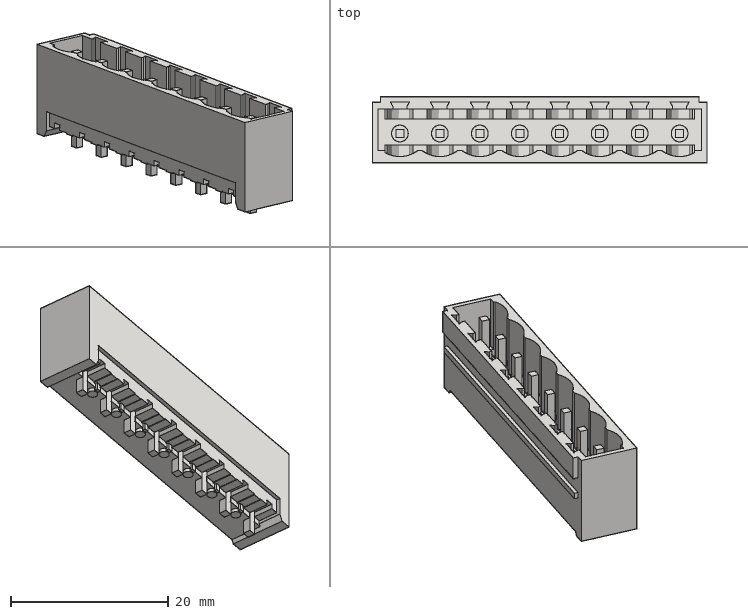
import cadquery as cq
import math


length = 42.55
depth = 7.75
height = 11.9
side_wall = 0.7
back_wall = 0.9
front_wall = 1.57

pin_count = 8
pitch = 5.08
pin_size = 1.0
pin_y = 3.75
pin_below_housing = 1.57
pin_top = height - 0.85
collar_diameter = 2.13
collar_depth = 0.2

rail_top = 4.98
rail_front = 2.3
rail_back = 5.6
trough_floor = 3.6
trough_end = 1.57
scallop_sag = 0.75
scallop_half_chord = 2.25

hump_radius = 1.5
hump_half_width = 1.65
hump_slope = 57.0

lip_length = 40.5
lip_depth = 0.7
lip_height = 3.05
latch_depth = 0.5
latch_height = 0.8
latch_bottom = 5.85
latch_top = latch_bottom + latch_height
groove_bottom = height - 3.95
groove_mouth = 1.8
groove_back = 2.42
groove_neck = 0.35

leg_width = 1.95
leg_foot_width = 1.5
leg_taper_height = 0.85
base_height = 0.5
recess_top = 3.4
recess_depth = 0.5
ledge_bottom = 1.3
core_front = 3.28
pad_height = 0.13
notch_top = 2.05
post_radius = 0.65
post_y = 3.95
rib_width = 0.65
rib_front = 2.98
rib_bottom = 0.2

half_length = length / 2
trough_length = length - 2 * trough_end
inner_back = depth - back_wall
pin_xs = [(i - (pin_count - 1) / 2) * pitch for i in range(pin_count)]
mid_xs = [x + pitch / 2 for x in pin_xs[:-1]]


def centred_block(x, width, y0, y1, z0, z1):
    """Box centred on x, between two Y and two Z limits."""
    return (
        cq.Workplane("XY", origin=(x, y0, z0))
        .box(width, y1 - y0, z1 - z0, centered=(True, False, False))
    )


def outer_shell():
    """Housing block with the lip and latch rib along its back."""
    shell = centred_block(0, length, 0, depth, 0, height)
    lip = centred_block(0, lip_length, depth, depth + lip_depth, height - lip_height, height)
    latch = centred_block(0, lip_length, depth, depth + latch_depth, latch_bottom, latch_top)
    return shell.union(lip).union(latch)


def scallops():
    """Shallow arcs that hollow the inside of the front wall at every pin."""
    cuts = cq.Workplane("XY")
    for x in pin_xs:
        cuts = cuts.union(
            cq.Workplane("XY", origin=(x, front_wall, trough_floor))
            .moveTo(-scallop_half_chord, 0)
            .threePointArc((0, -scallop_sag), (scallop_half_chord, 0))
            .close()
            .extrude(height - trough_floor)
        )
    return cuts.intersect(centred_block(0, trough_length, 0, depth, 0, height))


def socket():
    """Space inside the housing, down to the rail and the two troughs."""
    cavity = centred_block(0, length - 2 * side_wall, front_wall, inner_back, rail_top, height)
    for y0, y1 in ((front_wall, rail_front), (rail_back, inner_back)):
        cavity = cavity.union(centred_block(0, trough_length, y0, y1, trough_floor, rail_top))
    return cavity.union(scallops())


def hump(x):
    """Rounded ridge along Y whose straight flanks leave the arc tangentially."""
    slope = math.radians(hump_slope)
    arc_half_width = hump_radius * math.sin(slope)
    shoulder = (hump_half_width - arc_half_width) * math.tan(slope)
    crest = shoulder + hump_radius * (1 - math.cos(slope))
    return (
        cq.Workplane("XZ", origin=(x, inner_back, trough_floor))
        .moveTo(-hump_half_width, 0)
        .lineTo(-arc_half_width, shoulder)
        .threePointArc((0, crest), (arc_half_width, shoulder))
        .lineTo(hump_half_width, 0)
        .close()
        .extrude(inner_back - recess_depth)
    )


def dovetail_groove(x):
    """Keying groove in the back wall, wider towards the back."""
    return (
        cq.Workplane("XY", origin=(x, inner_back, groove_bottom))
        .polyline([
            (-groove_mouth / 2, 0),
            (-groove_mouth / 2, groove_neck),
            (-groove_back / 2, back_wall),
            (groove_back / 2, back_wall),
            (groove_mouth / 2, groove_neck),
            (groove_mouth / 2, 0),
        ])
        .close()
        .extrude(height - groove_bottom)
    )


def underside_clearance():
    """Space between the two end legs, which taper towards their feet."""
    leg_inner = half_length - leg_width
    foot_inner = half_length - leg_foot_width
    gap = (
        cq.Workplane("XZ", origin=(0, depth, 0))
        .polyline([
            (-foot_inner, 0),
            (-leg_inner, leg_taper_height),
            (-leg_inner, ledge_bottom),
            (leg_inner, ledge_bottom),
            (leg_inner, leg_taper_height),
            (foot_inner, 0),
        ])
        .close()
        .extrude(depth)
    )
    gap = gap.cut(centred_block(0, length, core_front, depth, base_height, ledge_bottom))
    front_recess = centred_block(0, 2 * leg_inner, 0, recess_depth, ledge_bottom, recess_top)
    return gap.union(front_recess)


def standoff(x):
    """Round foot between two pins, with a short rib in front and a thin pad under the ledge."""
    post = (
        cq.Workplane("XY", origin=(x, post_y, 0))
        .circle(post_radius)
        .extrude(base_height)
    )
    rib = centred_block(x, rib_width, rib_front, post_y, rib_bottom, ledge_bottom)
    pad = centred_block(x, 2 * post_radius, recess_depth, post_y, ledge_bottom - pad_height, ledge_bottom)
    return post.union(rib).union(pad)


def pin_notch(x):
    """Slot in the lower front wall that exposes a pin."""
    return centred_block(x, pin_size, 0, pin_y, 0, notch_top)


def collar(x):
    """Shallow round recess in the rail around a pin."""
    return (
        cq.Workplane("XY", origin=(x, pin_y, rail_top - collar_depth))
        .circle(collar_diameter / 2)
        .extrude(collar_depth)
    )


def pin(x):
    """Square contact pin through the rail."""
    half = pin_size / 2
    return centred_block(x, pin_size, pin_y - half, pin_y + half, -pin_below_housing, pin_top)


socket_space = socket()
body = outer_shell().cut(socket_space)
for pin_x in pin_xs:
    body = body.union(hump(pin_x).intersect(socket_space))
body = body.cut(underside_clearance())
for pin_x in pin_xs:
    body = body.cut(dovetail_groove(pin_x)).cut(pin_notch(pin_x)).cut(collar(pin_x))
    body = body.union(pin(pin_x))
for mid_x in mid_xs:
    body = body.union(standoff(mid_x))

result = body